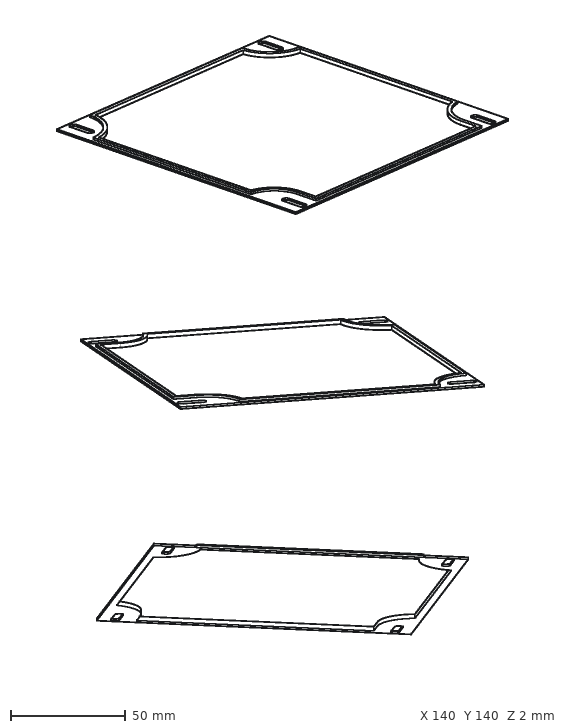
import cadquery as cq
import math

side = 140.0
base_thickness = 1.0
total_height = 2.0
ledge_width = 1.8
rim_width = 1.8

left_pad_radius = 17.8

right_pad_radius = 15.4
right_arc_inset = 12.6

slot_length = 13.2
slot_width = 3.8
slot_inset = 7.7


def frame_outline(inset, growth):
    """Closed outline inset from the square, with the corner pads grown by growth."""
    near = inset
    far = side - inset
    left_radius = left_pad_radius + growth
    right_radius = right_pad_radius + growth

    left_offset = inset - ledge_width
    left_end = ledge_width + math.sqrt(left_radius**2 - left_offset**2)
    left_mid = ledge_width + left_radius * math.sqrt(0.5)

    start_angle = math.asin(inset / right_radius)
    mid_angle = (start_angle + math.pi / 2) / 2
    arc_x = side - right_arc_inset
    right_start = arc_x - right_radius * math.cos(start_angle)
    right_mid_x = arc_x - right_radius * math.cos(mid_angle)
    right_mid_y = right_radius * math.sin(mid_angle)

    return (
        cq.Workplane("XY")
        .moveTo(left_end, near)
        .lineTo(right_start, near)
        .threePointArc((right_mid_x, right_mid_y), (arc_x, right_radius))
        .lineTo(far, right_radius)
        .lineTo(far, side - right_radius)
        .lineTo(arc_x, side - right_radius)
        .threePointArc((right_mid_x, side - right_mid_y), (right_start, far))
        .lineTo(left_end, far)
        .threePointArc((left_mid, side - left_mid), (near, side - left_end))
        .lineTo(near, left_end)
        .threePointArc((left_mid, left_mid), (left_end, near))
        .close()
    )


plate = cq.Workplane("XY").box(side, side, base_thickness, centered=False)
rim = frame_outline(ledge_width, 0).extrude(total_height)
opening = frame_outline(ledge_width + rim_width, rim_width).extrude(total_height)

slot_centres = [(x, y) for x in (slot_inset, side - slot_inset) for y in (slot_inset, side - slot_inset)]
slots = (
    cq.Workplane("XY")
    .pushPoints(slot_centres)
    .slot2D(slot_length, slot_width)
    .extrude(base_thickness)
)

result = plate.union(rim).cut(opening).cut(slots)